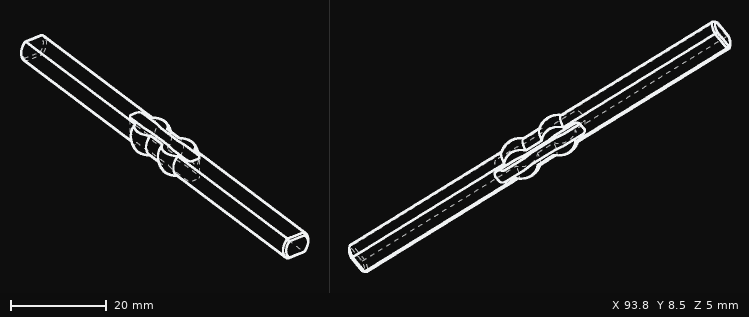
import cadquery as cq

bar_length = 93.75
bar_diameter = 6.6
thickness = 5.0
end_chamfer = 0.5

bump_diameter = 8.5
bump_spacing = 9.7

slot_length = 21.75
slot_width = 3.1
waist_width = 2.6
waist_length = 6.1
ramp_length = 2.0
slot_corner_radius = 0.9


def make_bar():
    """Round bar along X, trimmed flat above and below, with chamfered ends."""
    bar = cq.Workplane("YZ").circle(bar_diameter / 2).extrude(bar_length / 2, both=True)
    return trim_flats(bar).faces("<X or >X").chamfer(end_chamfer)


def trim_flats(body):
    """Keep only the material between the upper and lower flats."""
    return body.intersect(cq.Workplane("XY").box(bar_length, bump_diameter, thickness))


def make_bump(x):
    """Spherical swelling at position x, trimmed to the flats of the bar."""
    bump = cq.Workplane("XY").sphere(bump_diameter / 2).translate((x, 0, 0))
    return trim_flats(bump)


def make_slot():
    """Vertical cutter: rounded slot with both sides stepping in along the waist."""
    slot = cq.Workplane("XY").box(slot_length, slot_width, thickness)
    slot = slot.edges("|Z").fillet(slot_corner_radius)

    waist_end = waist_length / 2
    ramp_end = waist_end + ramp_length
    side_rib = (
        cq.Workplane("XY")
        .moveTo(-ramp_end, slot_width / 2)
        .lineTo(-waist_end, waist_width / 2)
        .lineTo(waist_end, waist_width / 2)
        .lineTo(ramp_end, slot_width / 2)
        .close()
        .extrude(thickness / 2, both=True)
    )
    return slot.cut(side_rib).cut(side_rib.mirror("XZ"))


result = make_bar()
for bump_x in (-bump_spacing / 2, bump_spacing / 2):
    result = result.union(make_bump(bump_x))
result = result.cut(make_slot())